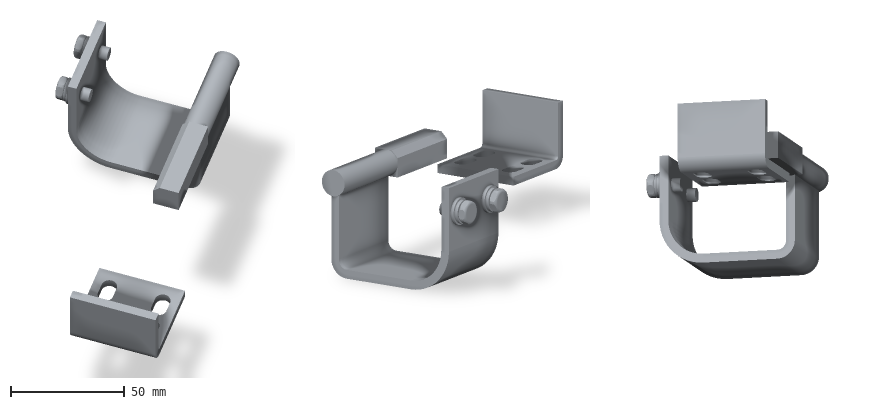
import cadquery as cq
import math

TOTAL_LENGTH = 155.2
SHEET_THICKNESS = 4.0
SHEET_WIDTH = 40.0

BRACKET_SPAN = 62.0
BRACKET_HEIGHT = 49.0
WIDE_BEND_RADIUS = 20.0
TIGHT_BEND_RADIUS = 8.0
BRACKET_SETBACK = 1.5

BAR_SIZE = 12.0
JOURNAL_LENGTH = 43.0
BLOCK_LENGTH = 40.0
BLOCK_CHAMFER = 3.1

ANGLE_HEIGHT = 30.0
ANGLE_RISE = 0.5
ANGLE_INNER_RADIUS = 1.5
SLOT_WIDTH = 7.0
SLOT_LENGTH = 12.0
SLOT_ROW_PITCH = 15.0
SLOT_END_MARGIN = 11.0

SCREW_PITCH = 25.0
SCREW_DROP = 12.0
SHANK_DIAMETER = 6.0
SHANK_PROJECTION = 4.0
HEAD_HEIGHT = 3.9
HEAD_ACROSS_FLATS = 10.0
HEAD_DIAMETER = 10.9
HEAD_EDGE_RADIUS = 1.4
WASHER_THICKNESS = 1.5
SPRING_WASHER_DIAMETER = 10.7
FLAT_WASHER_DIAMETER = 12.3

bracket_middle_y = -BRACKET_SETBACK - SHEET_WIDTH / 2
bar_x = BRACKET_SPAN - SHEET_THICKNESS / 2
bar_z = BRACKET_HEIGHT - BAR_SIZE / 2
angle_front_y = -TOTAL_LENGTH
angle_bottom_z = BRACKET_HEIGHT + ANGLE_RISE - ANGLE_HEIGHT
screw_z = BRACKET_HEIGHT - SCREW_DROP
back_screw_y = bracket_middle_y + SCREW_PITCH / 2
front_screw_y = bracket_middle_y - SCREW_PITCH / 2
flat_washer_x = -WASHER_THICKNESS
spring_washer_x = flat_washer_x - WASHER_THICKNESS
head_x = spring_washer_x - HEAD_HEIGHT


def x_cylinder(start_x, y, length, diameter):
    """Cylinder along +X at screw height, starting at start_x."""
    plane = cq.Workplane("YZ", origin=(start_x, y, screw_z))
    return plane.circle(diameter / 2).extrude(length)


def arc_middle(center_x, center_z, radius, degrees):
    """Point on a bend arc, at the given angle around its centre."""
    angle = math.radians(degrees)
    return (center_x + radius * math.cos(angle), center_z + radius * math.sin(angle))


def make_hinge_bar():
    journal = (
        cq.Workplane("XZ", origin=(bar_x, 0, bar_z))
        .circle(BAR_SIZE / 2)
        .extrude(JOURNAL_LENGTH)
    )
    block = (
        cq.Workplane("XZ", origin=(bar_x, -JOURNAL_LENGTH, bar_z))
        .rect(BAR_SIZE, BAR_SIZE)
        .extrude(BLOCK_LENGTH)
        .edges("|Y and <X and >Z")
        .chamfer(BLOCK_CHAMFER)
    )
    return journal.union(block)


def make_bracket(hinge_bar):
    """Bent strip whose short leg is saddled under the hinge bar."""
    wide, tight, sheet = WIDE_BEND_RADIUS, TIGHT_BEND_RADIUS, SHEET_THICKNESS
    tight_x = BRACKET_SPAN - tight
    strip = (
        cq.Workplane("XZ", origin=(0, -BRACKET_SETBACK, 0))
        .moveTo(0, BRACKET_HEIGHT)
        .lineTo(0, wide)
        .threePointArc(arc_middle(wide, wide, wide, 225), (wide, 0))
        .lineTo(tight_x, 0)
        .threePointArc(arc_middle(tight_x, tight, tight, 315), (BRACKET_SPAN, tight))
        .lineTo(BRACKET_SPAN, bar_z)
        .lineTo(BRACKET_SPAN - sheet, bar_z)
        .lineTo(BRACKET_SPAN - sheet, tight)
        .threePointArc(arc_middle(tight_x, tight, tight - sheet, 315), (tight_x, sheet))
        .lineTo(wide, sheet)
        .threePointArc(arc_middle(wide, wide, wide - sheet, 225), (sheet, wide))
        .lineTo(sheet, BRACKET_HEIGHT)
        .close()
        .extrude(SHEET_WIDTH)
    )
    bracket = strip.cut(hinge_bar)
    for y in (back_screw_y, front_screw_y):
        bracket = bracket.cut(x_cylinder(0, y, SHEET_THICKNESS, SHANK_DIAMETER))
    return bracket


def make_angle_plate():
    """L-shaped plate with its upright at the front and two rows of slots in its base."""
    base_depth = SHEET_WIDTH
    left_x = bar_x - SHEET_WIDTH / 2
    plate = (
        cq.Workplane("YZ", origin=(left_x, angle_front_y, angle_bottom_z))
        .polyline([
            (0, 0),
            (base_depth, 0),
            (base_depth, SHEET_THICKNESS),
            (SHEET_THICKNESS, SHEET_THICKNESS),
            (SHEET_THICKNESS, ANGLE_HEIGHT),
            (0, ANGLE_HEIGHT),
        ])
        .close()
        .extrude(SHEET_WIDTH)
    )
    inner_corner = cq.selectors.NearestToPointSelector(
        (bar_x, angle_front_y + SHEET_THICKNESS, angle_bottom_z + SHEET_THICKNESS)
    )
    plate = plate.edges(inner_corner).fillet(ANGLE_INNER_RADIUS)
    plate = plate.edges("|X and <Y and <Z").fillet(ANGLE_INNER_RADIUS + SHEET_THICKNESS)

    back_row_y = angle_front_y + base_depth - SLOT_END_MARGIN
    slots = (
        cq.Workplane("XY", origin=(bar_x, back_row_y - SLOT_ROW_PITCH / 2, angle_bottom_z))
        .rarray(SCREW_PITCH, SLOT_ROW_PITCH, 2, 2)
        .slot2D(SLOT_LENGTH, SLOT_WIDTH, 90)
        .extrude(SHEET_THICKNESS)
    )
    return plate.cut(slots)


def make_screw(y, turn):
    """Hexagon screw along +X; head corners lie along Z at turn 0 and along Y at turn 30."""
    hexagon = (
        cq.Workplane("YZ", origin=(head_x, y, screw_z))
        .transformed(rotate=(0, 0, turn))
        .polygon(6, HEAD_ACROSS_FLATS, circumscribed=True)
        .extrude(HEAD_HEIGHT)
    )
    rounding = (
        x_cylinder(head_x, y, HEAD_HEIGHT, HEAD_DIAMETER)
        .edges("<X or >X")
        .fillet(HEAD_EDGE_RADIUS)
    )
    shank_length = 2 * WASHER_THICKNESS + SHEET_THICKNESS + SHANK_PROJECTION
    shank = x_cylinder(spring_washer_x, y, shank_length, SHANK_DIAMETER)
    return hexagon.intersect(rounding).union(shank)


def make_washer(start_x, y, diameter):
    disc = x_cylinder(start_x, y, WASHER_THICKNESS, diameter)
    return disc.cut(x_cylinder(start_x, y, WASHER_THICKNESS, SHANK_DIAMETER))


hinge_bar = make_hinge_bar()
bracket = make_bracket(hinge_bar)
angle_plate = make_angle_plate()

screws = []
spring_washers = []
flat_washers = []
for screw_y, head_turn in ((back_screw_y, 0), (front_screw_y, 30)):
    screws.append(make_screw(screw_y, head_turn).val())
    spring_washers.append(make_washer(spring_washer_x, screw_y, SPRING_WASHER_DIAMETER).val())
    flat_washers.append(make_washer(flat_washer_x, screw_y, FLAT_WASHER_DIAMETER).val())

result = cq.Compound.makeCompound([
    bracket.val(),
    hinge_bar.val(),
    angle_plate.val(),
    *screws,
    *spring_washers,
    *flat_washers,
])